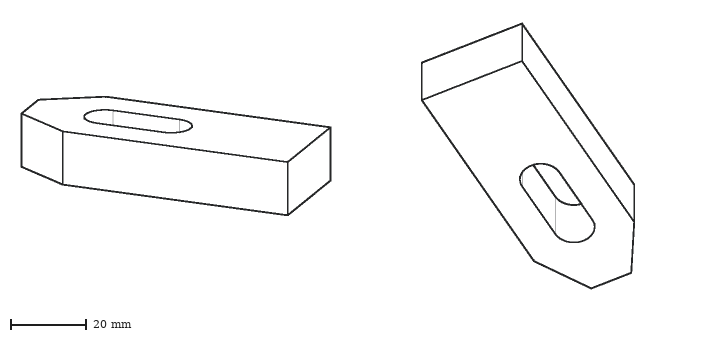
import cadquery as cq
import math

length = 80.0
width = 30.0
thickness = width / 2

nose_width = 12.0
taper_angle = 30.0
taper_length = (width - nose_width) / 2 / math.tan(math.radians(taper_angle))

slot_start = 16.0
slot_length = 30.0
slot_width = 11.0
slot_center = slot_start + slot_length / 2


def make_bar():
    """Flat bar narrowing to a blunt nose."""
    outline = [
        (0, -nose_width / 2),
        (taper_length, -width / 2),
        (length, -width / 2),
        (length, width / 2),
        (taper_length, width / 2),
        (0, nose_width / 2),
    ]
    return cq.Workplane("XY").polyline(outline).close().extrude(thickness)


def make_slot():
    """Cutter for the slot, as deep as the bar is thick."""
    return (
        cq.Workplane("XY")
        .center(slot_center, 0)
        .slot2D(slot_length, slot_width)
        .extrude(thickness)
    )


result = make_bar().cut(make_slot())